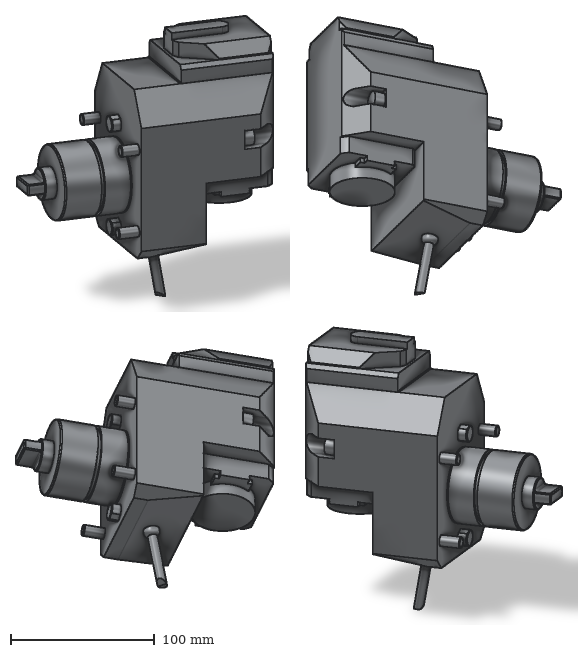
import cadquery as cq
import math

WIDTH = 90.0
LENGTH = 175.7
HEIGHT = 194.1
HALF_WIDTH = WIDTH / 2
TIP_Y = -71.6
BACK_Y = TIP_Y + LENGTH
KEY_TOP_Z = 101.3
CABLE_END_Z = KEY_TOP_Z - HEIGHT

SHOULDER_Z = 47.8
HOUSING_TOP_Z = 72.0
HOUSING_TOP_HALF = 30.9
HOUSING_BOTTOM_Z = -50.0
BOTTOM_CHAMFER = 7.5
SPLIT_Y = 34.4
STEP_HEIGHT = 0.5
FOOT_BACK_Y = 48.3
REAR_BOTTOM_Z = 1.7
BACK_CHAMFER = 15.1
SLOPE_START_Y = 10.0
SLOPE_ANGLE = 10

PLATE_FRONT_Y = 35
PLATE_HALF = 31
PLATE_TOP_Z = 85.5
PLATE_CHAMFER_X = 2
PLATE_CHAMFER_Z = 3.5
SLIDE_HALF = 29.3
SLIDE_TOP_HALF = 23.5
SLIDE_TOP_Z = 96.5
SLIDE_LIP = 1.0
SLIDE_BACK_CHAMFER = 3.5
NOSE_Y = 37.3
NOSE_HALF = 8.5
NOSE_RADIUS = 27.0
NOSE_SHOULDER_HALF = 13.8
NOSE_FLANK_END_Y = 64
KEY_WIDTH = 13.5
KEY_END_Y = 81.5

SEAT_Y = 75.1
FLANGE_BOTTOM_Z = -10.7
FLANGE_RADIUS = 40.0
FLANGE_HALF = 31.8
SEAT_DIAMETER = 45.5
SEAT_BOTTOM_Z = -22.5
TAB_BOTTOM_Z = -14.2
TAB_WIDTH = 21.0
TAB_ROOT_WIDTH = 27.2
TAB_ROOT_HALF = 27.2

SCREW_X = 37.5
SCREW_SPACING_Z = 60.0
SCREW_Z = SCREW_SPACING_Z / 2
SCREW_DIAMETER = 8.0
SCREW_CHAMFER = 0.5
UPPER_SCREW_LENGTH = 13.0
LOWER_SCREW_LENGTH = 15.1
HEAD_DIAMETER = 13.0
HEAD_LENGTH = 7.8
POCKET_WIDTH = 13.5
POCKET_FLOOR_Y = 77.0
NUT_Z = 37.9
NUT_RADIUS = 6.2
NUT_LENGTH = 7.0
NUT_CHAMFER = 0.8
NUT_FLAT_HALF = 4.5

SPINDLE_DIAMETER = 54.0
SPINDLE_LENGTH = 49.9
RELIEF_DIAMETER = 53.5
RELIEF_LENGTH = 1.0
GROOVE_DIAMETER = 49.9
GROOVE_START = 20.0
GROOVE_END = 22.7
SPINDLE_CHAMFER_LENGTH = 1.2
SPINDLE_CHAMFER_DEPTH = 0.5
SHANK_DIAMETER = 23.0
SHANK_END = 58.8
SHANK_CHAMFER = 0.8
TANG_HALF = 4.0
TANG_FILLET = 1.5
TANG_CHAMFER = 1.0
TANG_EDGE_CHAMFER = 0.8

CABLE_DIAMETER = 6.8
GLAND_RADIUS = 5.8
GLAND_DROP = 0.8
CABLE_Y = 23.7
CABLE_BEVEL_ANGLE = 42


def mirror_points(points):
    """Close a right-hand outline, listed bottom to top, with its left-hand mirror image."""
    return points + [(-x, z) for x, z in reversed(points) if x > 0]


def block(x0, x1, y0, y1, z0, z1):
    return cq.Workplane("XY").box(x1 - x0, y1 - y0, z1 - z0, centered=False).translate((x0, y0, z0))


def prism_along_y(points, y0, y1):
    """Extrude an XZ outline from y0 to y1."""
    return cq.Workplane("XZ", origin=(0, y0, 0)).polyline(points).close().extrude(y0 - y1)


def rod_along_y(x, z, diameter, y0, y1):
    return cq.Workplane("XZ", origin=(x, y0, z)).circle(diameter / 2).extrude(y0 - y1)


def back_corner_cut(half, chamfer):
    """Upright prism trimming both rear corners at 45 degrees."""
    corner = [(half - chamfer, BACK_Y), (half + chamfer, BACK_Y - 2 * chamfer), (half + chamfer, BACK_Y)]
    right = cq.Workplane("XY", origin=(0, 0, CABLE_END_Z)).polyline(corner).close().extrude(HEIGHT)
    return right.union(right.mirror("YZ"))


def make_housing():
    outline = mirror_points([
        (HALF_WIDTH - BOTTOM_CHAMFER, HOUSING_BOTTOM_Z),
        (HALF_WIDTH, HOUSING_BOTTOM_Z + BOTTOM_CHAMFER),
        (HALF_WIDTH, SHOULDER_Z),
        (HOUSING_TOP_HALF, HOUSING_TOP_Z),
    ])
    housing = prism_along_y(outline, 0, BACK_Y)
    housing = housing.cut(
        block(-HALF_WIDTH, HALF_WIDTH, FOOT_BACK_Y, BACK_Y, HOUSING_BOTTOM_Z, REAR_BOTTOM_Z)
    )
    slope_run = BACK_Y - SLOPE_START_Y
    slope_rise = slope_run * math.tan(math.radians(SLOPE_ANGLE))
    below_slope = (
        cq.Workplane("YZ", origin=(-HALF_WIDTH, 0, 0))
        .moveTo(SLOPE_START_Y, HOUSING_BOTTOM_Z)
        .lineTo(BACK_Y, HOUSING_BOTTOM_Z + slope_rise)
        .lineTo(BACK_Y, HOUSING_BOTTOM_Z)
        .close()
        .extrude(WIDTH)
    )
    return housing.cut(below_slope)


def make_plate():
    plate = prism_along_y(
        mirror_points([
            (PLATE_HALF, HOUSING_TOP_Z),
            (PLATE_HALF, PLATE_TOP_Z - PLATE_CHAMFER_Z),
            (PLATE_HALF - PLATE_CHAMFER_X, PLATE_TOP_Z),
        ]),
        PLATE_FRONT_Y,
        BACK_Y,
    )
    step_top = HOUSING_TOP_Z + STEP_HEIGHT
    step = block(-HOUSING_TOP_HALF, HOUSING_TOP_HALF, SPLIT_Y, PLATE_FRONT_Y, HOUSING_TOP_Z, step_top)
    return plate.union(step)


def make_slide():
    slide = prism_along_y(
        mirror_points([
            (SLIDE_HALF, PLATE_TOP_Z),
            (SLIDE_HALF, PLATE_TOP_Z + SLIDE_LIP),
            (SLIDE_TOP_HALF, SLIDE_TOP_Z),
        ]),
        NOSE_Y,
        BACK_Y,
    )
    arc_center_y = NOSE_Y + math.sqrt(NOSE_RADIUS**2 - NOSE_HALF**2)

    def nose_y(x):
        return arc_center_y - math.sqrt(NOSE_RADIUS**2 - x**2)

    shoulder_y = nose_y(NOSE_SHOULDER_HALF)
    arc_mid_x = (NOSE_HALF + NOSE_SHOULDER_HALF) / 2
    arc_mid_y = nose_y(arc_mid_x)
    plan = (
        cq.Workplane("XY", origin=(0, 0, PLATE_TOP_Z))
        .moveTo(-NOSE_HALF, NOSE_Y)
        .lineTo(NOSE_HALF, NOSE_Y)
        .threePointArc((arc_mid_x, arc_mid_y), (NOSE_SHOULDER_HALF, shoulder_y))
        .lineTo(SLIDE_HALF, NOSE_FLANK_END_Y)
        .lineTo(SLIDE_HALF, BACK_Y)
        .lineTo(-SLIDE_HALF, BACK_Y)
        .lineTo(-SLIDE_HALF, NOSE_FLANK_END_Y)
        .lineTo(-NOSE_SHOULDER_HALF, shoulder_y)
        .threePointArc((-arc_mid_x, arc_mid_y), (-NOSE_HALF, NOSE_Y))
        .close()
        .extrude(SLIDE_TOP_Z - PLATE_TOP_Z)
    )
    return slide.intersect(plan).cut(back_corner_cut(SLIDE_HALF, SLIDE_BACK_CHAMFER))


def make_key():
    radius = KEY_WIDTH / 2
    return (
        cq.Workplane("XY", origin=(0, 0, SLIDE_TOP_Z))
        .moveTo(-radius, NOSE_Y)
        .lineTo(radius, NOSE_Y)
        .lineTo(radius, KEY_END_Y - radius)
        .threePointArc((0, KEY_END_Y), (-radius, KEY_END_Y - radius))
        .close()
        .extrude(KEY_TOP_Z - SLIDE_TOP_Z)
    )


def make_flange():
    disc = (
        cq.Workplane("XY", origin=(0, SEAT_Y, FLANGE_BOTTOM_Z))
        .circle(FLANGE_RADIUS)
        .extrude(REAR_BOTTOM_Z - FLANGE_BOTTOM_Z)
    )
    limits = block(-FLANGE_HALF, FLANGE_HALF, FOOT_BACK_Y, BACK_Y, FLANGE_BOTTOM_Z, REAR_BOTTOM_Z)
    seat = (
        cq.Workplane("XY", origin=(0, SEAT_Y, SEAT_BOTTOM_Z))
        .circle(SEAT_DIAMETER / 2)
        .extrude(FLANGE_BOTTOM_Z - SEAT_BOTTOM_Z)
    )
    flange = disc.intersect(limits).union(seat)
    for half_length, width in ((FLANGE_HALF, TAB_WIDTH), (TAB_ROOT_HALF, TAB_ROOT_WIDTH)):
        y0 = SEAT_Y - width / 2
        flange = flange.union(
            block(-half_length, half_length, y0, y0 + width, TAB_BOTTOM_Z, FLANGE_BOTTOM_Z)
        )
    return flange


def make_screw(x, z, length):
    return rod_along_y(x, z, SCREW_DIAMETER, 0, -length).faces("<Y").chamfer(SCREW_CHAMFER)


def make_screw_pocket(side):
    """Round-bottomed pocket open to the back and to one side of the housing."""
    x = side * SCREW_X
    half = POCKET_WIDTH / 2
    inner_x, outer_x = sorted((x, side * HALF_WIDTH))
    opening = block(inner_x, outer_x, POCKET_FLOOR_Y, BACK_Y, SCREW_Z - half, SCREW_Z + half)
    return rod_along_y(x, SCREW_Z, POCKET_WIDTH, POCKET_FLOOR_Y, BACK_Y).union(opening)


def make_nut(z):
    """Round nut with a low two-sided roof at the top and at the bottom."""
    flat_z = math.sqrt(NUT_RADIUS**2 - NUT_FLAT_HALF**2)
    eave_z = NUT_RADIUS - (NUT_RADIUS - flat_z) * NUT_RADIUS / NUT_FLAT_HALF
    roof = mirror_points([(0, -NUT_RADIUS), (NUT_RADIUS, -eave_z), (NUT_RADIUS, eave_z), (0, NUT_RADIUS)])
    nut = rod_along_y(0, 0, 2 * NUT_RADIUS, 0, -NUT_LENGTH).faces("<Y").chamfer(NUT_CHAMFER)
    return nut.intersect(prism_along_y(roof, -NUT_LENGTH, 0)).translate((0, 0, z))


def make_spindle():
    radius = SPINDLE_DIAMETER / 2
    profile = [
        (0, 0),
        (RELIEF_DIAMETER / 2, 0),
        (RELIEF_DIAMETER / 2, -RELIEF_LENGTH),
        (radius, -RELIEF_LENGTH),
        (radius, -GROOVE_START),
        (GROOVE_DIAMETER / 2, -GROOVE_START),
        (GROOVE_DIAMETER / 2, -GROOVE_END),
        (radius, -GROOVE_END),
        (radius, SPINDLE_CHAMFER_LENGTH - SPINDLE_LENGTH),
        (radius - SPINDLE_CHAMFER_DEPTH, -SPINDLE_LENGTH),
        (0, -SPINDLE_LENGTH),
    ]
    return cq.Workplane("XY").polyline(profile).close().revolve(360, (0, 0, 0), (0, 1, 0))


def make_drive_tang():
    """Round shank reduced to a flat tang with hollow fillets at its root."""
    radius = SHANK_DIAMETER / 2
    shank = rod_along_y(0, 0, SHANK_DIAMETER, -SPINDLE_LENGTH, -SHANK_END).faces("<Y").chamfer(SHANK_CHAMFER)
    tang = rod_along_y(0, 0, SHANK_DIAMETER, -SHANK_END, TIP_Y).faces("<Y").chamfer(TANG_CHAMFER)
    bend = TANG_FILLET * (1 - math.cos(math.pi / 4))
    for side in (1, -1):
        waste = (
            cq.Workplane("YZ", origin=(-radius, 0, 0))
            .moveTo(-SHANK_END, side * radius)
            .lineTo(-SHANK_END, side * (TANG_HALF + TANG_FILLET))
            .threePointArc(
                (-SHANK_END - bend, side * (TANG_HALF + bend)),
                (-SHANK_END - TANG_FILLET, side * TANG_HALF),
            )
            .lineTo(TIP_Y + TANG_CHAMFER, side * TANG_HALF)
            .lineTo(TIP_Y, side * (TANG_HALF - TANG_CHAMFER))
            .lineTo(TIP_Y, side * radius)
            .close()
            .extrude(SHANK_DIAMETER)
        )
        tang = tang.cut(waste)
    flat_start = SHANK_END + TANG_FILLET
    flat_zone = cq.selectors.BoxSelector((-radius, TIP_Y, -radius), (radius, -flat_start, radius))
    tang = tang.edges(flat_zone).edges("|Y").chamfer(TANG_EDGE_CHAMFER)
    return shank.union(tang)


def make_cable():
    """Cable leaving a ball gland square to the sloping underside, with a bevelled end."""
    slope = math.radians(SLOPE_ANGLE)
    gland_z = HOUSING_BOTTOM_Z + (CABLE_Y - SLOPE_START_Y) * math.tan(slope) - GLAND_DROP
    gland = cq.Workplane("XY").sphere(GLAND_RADIUS).translate((0, CABLE_Y, gland_z))
    direction = cq.Vector(0, math.sin(slope), -math.cos(slope))
    start = cq.Vector(0, CABLE_Y, gland_z)
    length = (gland_z - CABLE_END_Z) / math.cos(slope) + CABLE_DIAMETER
    cable = cq.Workplane(cq.Solid.makeCylinder(CABLE_DIAMETER / 2, length, start, direction))
    end_y = CABLE_Y + (gland_z - CABLE_END_Z) * math.tan(slope)
    below = cq.Workplane("XY", origin=(0, end_y, CABLE_END_Z)).rect(WIDTH, WIDTH).extrude(-WIDTH)
    bevel = (
        cq.Workplane("XY")
        .rect(WIDTH, WIDTH)
        .extrude(-WIDTH)
        .rotate((0, 0, 0), (1, 1, 0), -CABLE_BEVEL_ANGLE)
        .translate((0, end_y, CABLE_END_Z))
    )
    return gland.union(cable.cut(below).cut(bevel))


housing = make_housing().union(make_plate()).cut(back_corner_cut(HALF_WIDTH, BACK_CHAMFER))
for side in (1, -1):
    housing = housing.cut(make_screw_pocket(side))

parts = [make_slide(), make_key(), make_flange(), make_spindle(), make_drive_tang(), make_cable()]
for side in (1, -1):
    parts.append(make_nut(side * NUT_Z))
    parts.append(make_screw(side * SCREW_X, SCREW_Z, UPPER_SCREW_LENGTH))
    parts.append(make_screw(side * SCREW_X, -SCREW_Z, LOWER_SCREW_LENGTH))
    parts.append(
        rod_along_y(side * SCREW_X, SCREW_Z, HEAD_DIAMETER, POCKET_FLOOR_Y, POCKET_FLOOR_Y + HEAD_LENGTH)
    )

result = housing
for part in parts:
    result = result.union(part)